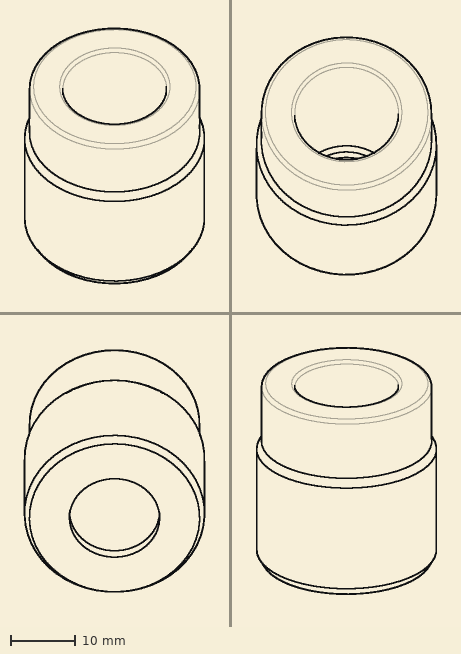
import cadquery as cq
import math

height = 30.0
body_radius = 28.0 / 2
neck_radius = 13.23
neck_start = 20.0
taper_angle = 30.0
taper_height = (body_radius - neck_radius) / math.tan(math.radians(taper_angle))
rim_fillet = 0.6

bore_radius = 16.15 / 2
through_radius = 14.0 / 2
lip_height = 2.0
mouth_fillet = 0.5


def make_sleeve():
    """Revolve the tapered, stepped outside profile about Z."""
    profile = (
        cq.Workplane("XZ")
        .lineTo(neck_radius, 0)
        .lineTo(body_radius, taper_height)
        .lineTo(body_radius, neck_start - taper_height)
        .lineTo(neck_radius, neck_start)
        .lineTo(neck_radius, height)
        .lineTo(0, height)
        .close()
    )
    return profile.revolve(360, (0, 0, 0), (0, 1, 0))


def cut_bore(sleeve):
    """Cut the through hole and the wider bore above the lip."""
    through_hole = cq.Workplane("XY").circle(through_radius).extrude(height)
    bore = cq.Workplane("XY", origin=(0, 0, lip_height)).circle(bore_radius).extrude(height - lip_height)
    return sleeve.cut(through_hole).cut(bore)


def round_top(sleeve):
    """Round the outer rim and the mouth of the bore."""
    largest = cq.selectors.RadiusNthSelector(-1)
    smallest = cq.selectors.RadiusNthSelector(0)
    sleeve = sleeve.faces(">Z").edges(largest).fillet(rim_fillet)
    return sleeve.faces(">Z").edges(smallest).fillet(mouth_fillet)


result = round_top(cut_bore(make_sleeve()))